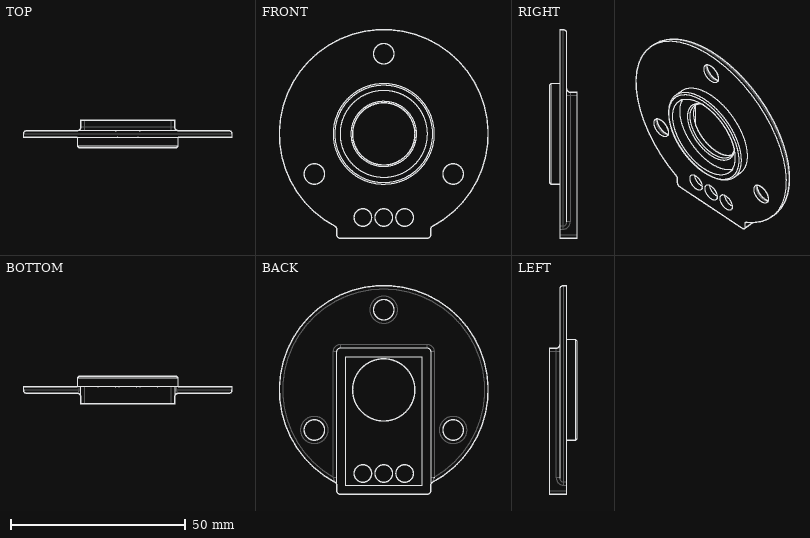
import cadquery as cq
import math

plate_diameter = 60.0
plate_thickness = 2.0
edge_radius = 1.0

ring_diameter = 29.0
ring_height = 3.0
ring_chamfer = 0.5
seat_diameter = 25.0
seat_depth = 3.0
bore_diameter = 17.8
bore_chamfer = 0.5

housing_width = 27.0
housing_top = 12.0
housing_bottom = -plate_diameter / 2
housing_back = 5.0
wall = 2.5
pocket_floor = plate_thickness

seam_margin = 0.05

mount_hole_diameter = 5.8
mount_circle_diameter = 46.0
mount_hole_count = 3
cable_hole_diameter = 5.0
cable_hole_pitch = 6.0
cable_hole_z = -24.0


def disc(diameter, y_start, y_end):
    """Cylinder along Y, centred on the plate axis."""
    plane = cq.Workplane("XZ", origin=(0, y_start, 0))
    return plane.circle(diameter / 2).extrude(y_start - y_end)


def box_between(width, z_low, z_high, y_start, y_end):
    """Box centred on X = 0."""
    size = (width, y_end - y_start, z_high - z_low)
    return cq.Workplane("XY").box(*size).translate((0, (y_start + y_end) / 2, (z_low + z_high) / 2))


def seam_region(margin):
    """Selects edges within the housing outline, grown by the margin at the sides and top."""
    half_width = housing_width / 2 + margin
    return cq.selectors.BoxSelector(
        (-half_width, -seam_margin, housing_bottom + 2 * edge_radius),
        (half_width, plate_thickness + seam_margin, housing_top + margin),
    )


def plate_with_housing():
    plate = disc(plate_diameter, 0, plate_thickness).faces(">Y").edges().fillet(edge_radius)
    housing = box_between(housing_width, housing_bottom, housing_top, 0, housing_back)
    housing = housing.edges("|Y").fillet(edge_radius)
    body = plate.union(housing)
    outer = seam_region(seam_margin)
    inner = seam_region(-seam_margin)
    return body.edges(outer - inner).edges("not(<Y)").fillet(edge_radius)


def bearing_ring():
    return disc(ring_diameter, -ring_height, 0).faces("<Y").edges().chamfer(ring_chamfer)


def bearing_opening():
    seat_floor = seat_depth - ring_height
    seat = disc(seat_diameter, -ring_height, seat_floor)
    bore = disc(bore_diameter, seat_floor, housing_back)
    lead_in_diameter = bore_diameter + 2 * bore_chamfer
    lead_in = cq.Workplane("XZ", origin=(0, seat_floor, 0)).circle(lead_in_diameter / 2)
    lead_in = lead_in.workplane(offset=-bore_chamfer).circle(bore_diameter / 2).loft()
    return seat.union(bore).union(lead_in)


def housing_pocket():
    return box_between(
        housing_width - 2 * wall, housing_bottom + wall, housing_top - wall, pocket_floor, housing_back
    )


def mount_holes():
    """Hole cutters that flare outwards at the back of the plate with a rounded rim."""
    radius = mount_hole_diameter / 2
    rim_start = plate_thickness - edge_radius
    arc_reach = edge_radius * math.sqrt(0.5)
    cutter = (
        cq.Workplane("XY")
        .lineTo(radius, 0)
        .lineTo(radius, rim_start)
        .threePointArc(
            (radius + edge_radius - arc_reach, rim_start + arc_reach),
            (radius + edge_radius, plate_thickness),
        )
        .lineTo(0, plate_thickness)
        .close()
        .revolve(360, (0, 0, 0), (0, 1, 0))
        .translate((0, 0, mount_circle_diameter / 2))
    )
    cutters = cq.Workplane("XY")
    for i in range(mount_hole_count):
        cutters = cutters.add(cutter.rotate((0, 0, 0), (0, 1, 0), 360 * i / mount_hole_count))
    return cutters.combine()


def cable_holes():
    points = [(i * cable_hole_pitch, cable_hole_z) for i in (-1, 0, 1)]
    plane = cq.Workplane("XZ", origin=(0, housing_back, 0))
    return plane.pushPoints(points).circle(cable_hole_diameter / 2).extrude(housing_back)


result = plate_with_housing().union(bearing_ring())
for cutter in (bearing_opening(), housing_pocket(), mount_holes(), cable_holes()):
    result = result.cut(cutter)